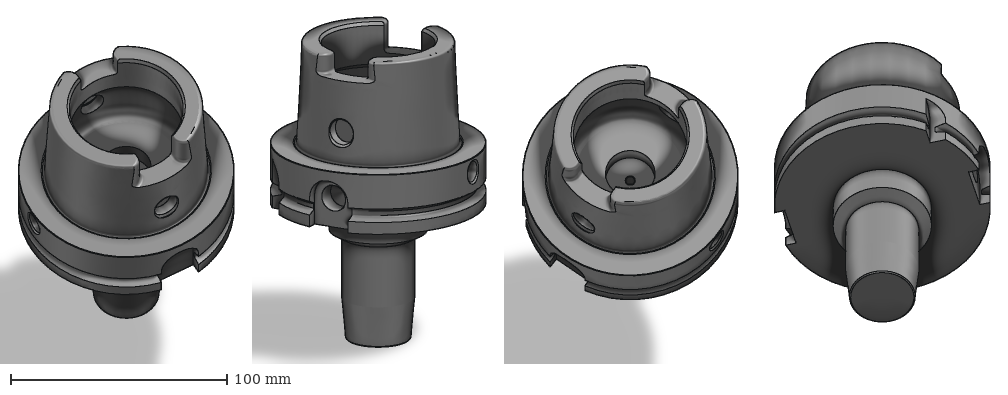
import cadquery as cq
import math

total_height = 144.9
nose_chamfer = 0.6
nose_taper_top = 20.0
neck_top = 49.4
collar_bottom = 52.7
flange_bottom = 66.1
flange_top = 95.0
taper_bottom = 97.1

nose_end_radius = 15.2
neck_radius = 17.0
collar_radius = 22.7

flange_radius = 50.0
flange_chamfer = 0.3
groove_radius = 46.1
groove_mid_height = 75.0
groove_floor_width = 3.5
groove_mouth_width = 6.5
groove_fillet = 1.0
radius_tolerance = 0.01

rim_fillet = 1.7
taper_base_radius = 37.8
taper_slope = 1 / 20
rim_radius = taper_base_radius - taper_slope * (total_height - rim_fillet - taper_bottom)
base_fillet = 1.0
face_groove_radius = 39.4
face_groove_depth = 0.3

bore_radius = 26.4
bore_mouth_radius = 27.4
bore_mouth_depth = 1.6
bore_bottom = 124.6
chamber_radius = 31.5
chamber_floor = 98.2
chamber_fillet = 6.4
clamp_angle = 30
coolant_recess_radius = 11.5
coolant_recess_depth = 8.7
centre_hole_radius = 2.0
centre_hole_depth = 8.7
centre_hole_chamfer = 0.3

key_half_width = 9.9
lobe_half_length = 32.3
lobe_corner_radius = 5.0
key_floor_fillet = 2.0
left_key_floor = 134.8
right_key_floor = 130.0

clamp_hole_height = 110.0
clamp_hole_radius = 6.1
clamp_hole_chamfer = 1.0

flange_slot_radius = 10.0
flange_slot_floor = 44.0
flange_slot_centre = 80.1
slot_hole_radius = 6.2
slot_hole_depth = 8.7
drill_point_angle = 118
notch_corner = 31.5

chip_hole_height = 88.0
chip_hole_radius = 4.9
chip_hole_depth = 5.8
chip_hole_chamfer = 0.9
chip_pit_radius = 0.6
chip_pit_depth = 0.7


def make_body():
    """Solid of revolution: nose, neck, collar, grooved flange and taper."""
    half_floor = groove_floor_width / 2
    half_mouth = groove_mouth_width / 2
    rim_diagonal = rim_fillet * math.sqrt(0.5)
    face_groove_floor = flange_top - face_groove_depth
    base_inset = base_fillet * (1 - math.sqrt(0.5))
    turned = (
        cq.Workplane("XZ")
        .moveTo(0, 0)
        .lineTo(nose_end_radius - nose_chamfer, 0)
        .lineTo(nose_end_radius, nose_chamfer)
        .lineTo(neck_radius, nose_taper_top)
        .lineTo(neck_radius, neck_top)
        .lineTo(collar_radius, collar_bottom)
        .lineTo(collar_radius, flange_bottom)
        .lineTo(flange_radius, flange_bottom)
        .lineTo(flange_radius, groove_mid_height - half_mouth)
        .lineTo(groove_radius, groove_mid_height - half_floor)
        .lineTo(groove_radius, groove_mid_height + half_floor)
        .lineTo(flange_radius, groove_mid_height + half_mouth)
        .lineTo(flange_radius, flange_top - flange_chamfer)
        .lineTo(flange_radius - flange_chamfer, flange_top)
        .lineTo(face_groove_radius, flange_top)
        .lineTo(taper_base_radius + base_fillet, face_groove_floor)
        .threePointArc(
            (taper_base_radius + base_inset, face_groove_floor + base_inset),
            (taper_base_radius, face_groove_floor + base_fillet),
        )
        .lineTo(taper_base_radius, taper_bottom)
        .lineTo(rim_radius, total_height - rim_fillet)
        .threePointArc(
            (rim_radius - rim_fillet + rim_diagonal, total_height - rim_fillet + rim_diagonal),
            (rim_radius - rim_fillet, total_height),
        )
        .lineTo(0, total_height)
        .close()
        .revolve(360, (0, 0, 0), (0, 1, 0))
    )
    groove_corners = turned.edges("%CIRCLE").filter(
        lambda edge: abs(edge.radius() - groove_radius) < radius_tolerance
    )
    return groove_corners.fillet(groove_fillet)


def make_cavity():
    """Solid of revolution that hollows out the taper."""
    clamp_drop = (chamber_radius - bore_radius) * math.tan(math.radians(clamp_angle))
    recess_floor = chamber_floor - coolant_recess_depth
    diagonal = chamber_fillet * math.sqrt(0.5)
    fillet_centre = (chamber_radius - chamber_fillet, chamber_floor + chamber_fillet)
    return (
        cq.Workplane("XZ")
        .moveTo(0, recess_floor - centre_hole_depth)
        .lineTo(centre_hole_radius, recess_floor - centre_hole_depth)
        .lineTo(centre_hole_radius, recess_floor - centre_hole_chamfer)
        .lineTo(centre_hole_radius + centre_hole_chamfer, recess_floor)
        .lineTo(coolant_recess_radius, recess_floor)
        .lineTo(coolant_recess_radius, chamber_floor)
        .lineTo(fillet_centre[0], chamber_floor)
        .threePointArc(
            (fillet_centre[0] + diagonal, fillet_centre[1] - diagonal),
            (chamber_radius, fillet_centre[1]),
        )
        .lineTo(chamber_radius, bore_bottom - clamp_drop)
        .lineTo(bore_radius, bore_bottom)
        .lineTo(bore_radius, total_height - bore_mouth_depth)
        .lineTo(bore_mouth_radius, total_height)
        .lineTo(0, total_height)
        .close()
        .revolve(360, (0, 0, 0), (0, 1, 0))
    )


def make_rim_lobe(y_side):
    """Upright block with a rounded top that bounds one of the two rim lobes between the drive slots."""
    height = total_height - right_key_floor
    depth = flange_radius - key_half_width
    return (
        cq.Workplane("XY")
        .box(2 * lobe_half_length, depth, height)
        .edges("|Z")
        .fillet(lobe_corner_radius)
        .faces(">Z")
        .edges()
        .fillet(rim_fillet)
        .translate((0, y_side * (key_half_width + depth / 2), total_height - height / 2))
    )


def make_key_slot(side, floor):
    """Cutter for the rim drive slot on the given X side, down to the given floor height."""
    height = total_height - floor
    return (
        cq.Workplane("XY")
        .box(flange_radius, 2 * flange_radius, height)
        .translate((side * flange_radius / 2, 0, floor + height / 2))
        .cut(make_rim_lobe(1))
        .cut(make_rim_lobe(-1))
        .faces("<Z")
        .edges()
        .fillet(key_floor_fillet)
    )


def make_flange_slot(side, floor, centre_y):
    """Cutter for a round-topped slot in the flange, open downward and outward along X."""
    height = flange_slot_centre - flange_bottom
    straight_part = cq.Workplane("YZ").rect(2 * flange_slot_radius, height).extrude(side * flange_radius)
    round_top = cq.Workplane("YZ").circle(flange_slot_radius).extrude(side * flange_radius)
    return (
        straight_part.translate((0, 0, -height / 2))
        .union(round_top)
        .translate((side * floor, centre_y, flange_slot_centre))
    )


def make_clamp_hole(side):
    """Cutter for one radial hole through the taper wall, with its countersink."""
    wall_x = taper_base_radius - taper_slope * (clamp_hole_height - taper_bottom)
    mouth_radius = clamp_hole_radius + clamp_hole_chamfer
    profile = (
        cq.Workplane("XY")
        .moveTo(0, 0)
        .lineTo(0, clamp_hole_radius)
        .lineTo(side * (wall_x - clamp_hole_chamfer), clamp_hole_radius)
        .lineTo(side * wall_x, mouth_radius)
        .lineTo(side * flange_radius, mouth_radius)
        .lineTo(side * flange_radius, 0)
        .close()
    )
    return profile.revolve(360, (0, 0, 0), (1, 0, 0)).translate((0, 0, clamp_hole_height))


def make_slot_hole():
    """Cutter for the drilled hole in the floor of the -X flange slot."""
    point_depth = slot_hole_radius / math.tan(math.radians(drill_point_angle / 2))
    shoulder_x = slot_hole_depth - flange_slot_floor
    profile = (
        cq.Workplane("XY")
        .moveTo(-flange_radius, 0)
        .lineTo(-flange_radius, slot_hole_radius)
        .lineTo(shoulder_x, slot_hole_radius)
        .lineTo(shoulder_x + point_depth, 0)
        .close()
    )
    return profile.revolve(360, (0, 0, 0), (1, 0, 0)).translate((0, 0, flange_slot_centre))


def make_chip_hole():
    """Cutter for the flat-bottomed hole in the -Y side of the flange, with a centre pit."""
    floor_y = chip_hole_depth - flange_radius
    mouth_radius = chip_hole_radius + chip_hole_chamfer
    profile = (
        cq.Workplane("XY")
        .moveTo(0, -flange_radius)
        .lineTo(mouth_radius, -flange_radius)
        .lineTo(chip_hole_radius, -flange_radius + chip_hole_chamfer)
        .lineTo(chip_hole_radius, floor_y)
        .lineTo(chip_pit_radius, floor_y)
        .lineTo(chip_pit_radius, floor_y + chip_pit_depth)
        .lineTo(0, floor_y + chip_pit_depth)
        .close()
    )
    return profile.revolve(360, (0, 0, 0), (0, 1, 0)).translate((0, 0, chip_hole_height))


body = make_body().cut(make_cavity())

for side, floor in ((-1, left_key_floor), (1, right_key_floor)):
    body = body.cut(make_key_slot(side, floor))

for side in (-1, 1):
    body = body.cut(make_flange_slot(side, flange_slot_floor, 0))
    body = body.cut(make_clamp_hole(side))
body = body.cut(make_flange_slot(-1, notch_corner, notch_corner + flange_slot_radius))
body = body.cut(make_slot_hole())
result = body.cut(make_chip_hole())